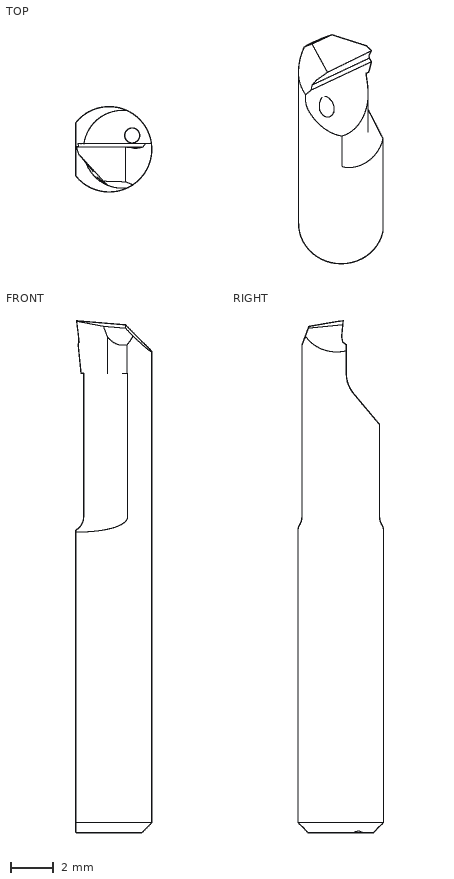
import cadquery as cq
import math

length = 24.0
shank_diameter = 4.0
shank_radius = shank_diameter / 2
width_across_flat = 3.58
flat_offset = width_across_flat - shank_radius
end_chamfer = 0.48

neck_offset = 0.62
neck_radius = 1.82
neck_base = 14.8
flare_radius = 0.72

head_base = 21.53
relief_y = 0.26
relief_radius = 1.5
relief_angle = math.radians(40)

cutting_edge_y = 0.12
flank_y = -0.22
heel_y = -neck_radius
foot_corner_x = -1.32
foot_flank_x = -1.18
top_flank_x = -1.45
flank_end_x = -0.07

ridge_x = 0.77
ridge_drop = 0.2
facet_drop = 1.45
top_clearance = 0.1

heel_facet_top_y = -1.4
heel_facet_foot_z = 22.85

breaker_profile = [(0.26, 22.87), (0.1, 23.0), (0.05, 23.25), (cutting_edge_y, length)]

coolant_x = 1.08
coolant_y = 0.65
coolant_diameter = 0.7

reach = 2 * shank_radius


def along_x(profile):
    """Prism of a closed YZ profile, spanning the whole part in X."""
    return cq.Workplane("YZ").polyline(profile).close().extrude(reach, both=True)


def make_envelope():
    bar = cq.Workplane("XY").circle(shank_radius).extrude(length).faces("<Z").chamfer(end_chamfer)
    keep = cq.Workplane("XY").box(reach, 2 * reach, length, centered=(False, True, False))
    return bar.intersect(keep.translate((-flat_offset, 0, 0)))


def make_neck_and_base():
    """Solid of revolution about the neck axis, with the concave flare at its foot."""
    flare_mid = flare_radius * math.sqrt(0.5)
    flare_outer = neck_radius + flare_radius
    flare_foot = neck_base - flare_radius
    base_radius = shank_radius + neck_offset + 0.25
    return (
        cq.Workplane("XZ")
        .lineTo(base_radius, 0)
        .lineTo(base_radius, flare_foot)
        .lineTo(flare_outer, flare_foot)
        .threePointArc((flare_outer - flare_mid, neck_base - flare_mid), (neck_radius, neck_base))
        .lineTo(neck_radius, head_base)
        .lineTo(0, head_base)
        .close()
        .revolve(360, (0, 0, 0), (0, 1, 0))
        .translate((neck_offset, 0, 0))
    )


def make_relief():
    def arc_point(angle):
        return (
            relief_y + relief_radius * (1 - math.cos(angle)),
            head_base - relief_radius * math.sin(angle),
        )

    arc_end = arc_point(relief_angle)
    slope_end_z = arc_end[1] - (reach - arc_end[0]) / math.tan(relief_angle)
    return (
        cq.Workplane("YZ")
        .moveTo(relief_y, length)
        .lineTo(relief_y, head_base)
        .threePointArc(arc_point(relief_angle / 2), arc_end)
        .lineTo(reach, slope_end_z)
        .lineTo(reach, length)
        .close()
        .extrude(reach, both=True)
    )


def neck_point(x):
    """Point at x on the -Y side of the neck circle."""
    return (x, -math.sqrt(neck_radius**2 - (x - neck_offset) ** 2))


def make_head():
    """Ruled body from the rounded neck foot to the straight flank at the top."""
    flank_end = neck_point(flank_end_x)
    foot_flank = neck_point(foot_flank_x)
    flank_mid = neck_point((foot_flank_x + flank_end_x) / 2)
    heel_mid = neck_point((flank_end_x + neck_offset) / 2)
    heel = (neck_offset, heel_y)
    return (
        cq.Workplane("XY", origin=(0, 0, head_base))
        .moveTo(foot_corner_x, relief_y)
        .lineTo(*foot_flank)
        .threePointArc(flank_mid, flank_end)
        .threePointArc(heel_mid, heel)
        .lineTo(reach, heel_y)
        .lineTo(reach, relief_y)
        .close()
        .workplane(offset=length - head_base)
        .moveTo(-flat_offset, relief_y)
        .lineTo(top_flank_x, flank_y)
        .lineTo(*flank_end)
        .threePointArc(heel_mid, heel)
        .lineTo(reach, heel_y)
        .lineTo(reach, relief_y)
        .close()
        .loft(ruled=True)
    )


def make_top_limit():
    """Body below the two top facets, swept along their back-clearance direction."""
    facet_plane = cq.Plane(
        origin=(0, cutting_edge_y, length),
        xDir=(1, 0, 0),
        normal=(0, -1, -top_clearance),
    )
    facet_slope = (facet_drop - ridge_drop) / (shank_radius - ridge_x)
    return (
        cq.Workplane(facet_plane)
        .moveTo(-flat_offset, 0)
        .lineTo(ridge_x, -ridge_drop)
        .lineTo(reach, -ridge_drop - facet_slope * (reach - ridge_x))
        .lineTo(reach, -2 * length)
        .lineTo(-flat_offset, -2 * length)
        .close()
        .extrude(reach, both=True)
    )


heel_facet = along_x([
    (heel_facet_top_y, length),
    (heel_y, heel_facet_foot_z),
    (-reach, heel_facet_foot_z),
    (-reach, length),
])
chip_breaker = along_x(breaker_profile + [(reach, length), (reach, breaker_profile[0][1])])
coolant_hole = (
    cq.Workplane("XY")
    .center(coolant_x, coolant_y)
    .circle(coolant_diameter / 2)
    .extrude(length)
)

head = make_head().intersect(make_top_limit()).cut(heel_facet).cut(chip_breaker)
body = make_neck_and_base().cut(make_relief()).union(head)
result = body.intersect(make_envelope()).cut(coolant_hole)